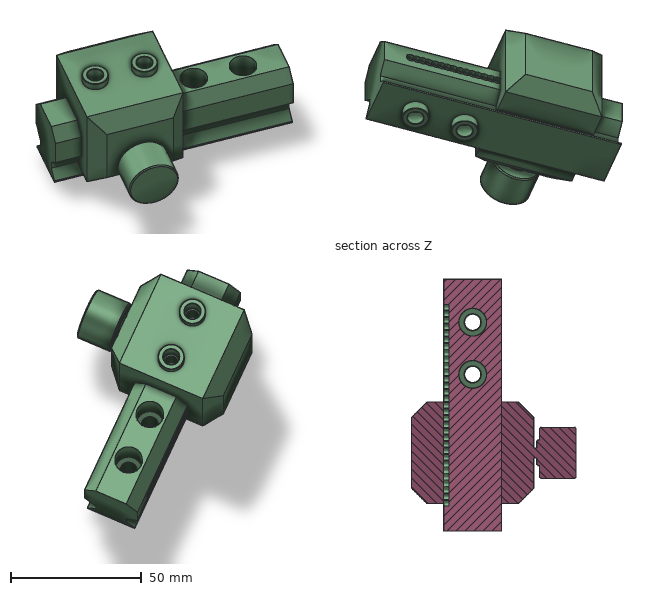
import cadquery as cq


rail_length = 96.5
rail_height = 27.1
rail_half_width = 11.1
neck_half_width = 6.4
foot_half_width = 9.9
foot_edge_height = 0.8
neck_bottom = foot_edge_height + foot_half_width - neck_half_width
neck_top = 7.5
side_bottom = 12.0
side_top = rail_height - (rail_half_width - neck_half_width)

detent_count = 31
detent_row_length = 75.0
detent_pitch = detent_row_length / (detent_count - 1)
detent_diameter = 3.6
detent_depth = 1.9
detent_height = 17.0

hole_spacing = 20.0
rail_hole_ys = [60.0, 60.0 + hole_spacing]
counterbore_diameter = 10.5
counterbore_depth = 13.5
clearance_diameter = 6.6
sleeve_diameter = 10.0
sleeve_bore = 6.2
sleeve_length = 6.8
sleeve_chamfer = 0.2
rail_sleeve_projection = 3.9
block_sleeve_projection = 3.0

block_width = 46.9
block_length = 39.0
block_height = 35.5
block_bottom = 4.1
block_top = block_bottom + block_height
block_front = 10.5
block_middle_y = block_front + block_length / 2
block_chamfer = 6.0
slot_mouth_chamfer = 1.35
tapped_diameter = 4.9
block_hole_ys = [block_middle_y - hole_spacing / 2, block_middle_y + hole_spacing / 2]

knob_end = 39.6
knob_start = 25.6
knob_diameter = 20.0
knob_chamfer = 0.5
hub_start = 24.5
hub_diameter = 10.5
hub_chamfer = 0.5
spindle_diameter = 5.0

rail_sleeve_base = -rail_sleeve_projection
block_sleeve_base = block_top + block_sleeve_projection - sleeve_length


def prism(right_side, start_y, length):
    """Extrude along +Y the outline whose +X half is given as (x, z) points, mirrored about X = 0."""
    left_side = [(-x, z) for x, z in reversed(right_side)]
    outline = cq.Workplane("XZ", origin=(0, start_y, 0)).polyline(right_side + left_side).close()
    return outline.extrude(-length)


def cylinders(diameter, base_z, height, ys):
    """Vertical cylinders on the middle plane, standing on base_z."""
    centers = [(0, y) for y in ys]
    return cq.Workplane("XY", origin=(0, 0, base_z)).pushPoints(centers).circle(diameter / 2).extrude(height)


def x_cylinder(diameter, start_x, end_x):
    """Cylinder along X on the knob axis."""
    plane = cq.Workplane("YZ", origin=(start_x, block_middle_y, detent_height))
    return plane.circle(diameter / 2).extrude(end_x - start_x)


head_outline = [
    (neck_half_width, neck_top),
    (rail_half_width, side_bottom),
    (rail_half_width, side_top),
    (neck_half_width, rail_height),
]


def make_detents():
    """Row of overlapping blind holes, centered along the rail."""
    first_y = (rail_length - detent_row_length) / 2
    row = cq.Workplane("YZ")
    for i in range(detent_count):
        detent = cq.Workplane("YZ", origin=(-rail_half_width, first_y + i * detent_pitch, detent_height))
        row = row.union(detent.circle(detent_diameter / 2).extrude(detent_depth))
    return row


def make_rail():
    foot_outline = [
        (foot_half_width, 0),
        (foot_half_width, foot_edge_height),
        (neck_half_width, neck_bottom),
    ]
    rail = prism(foot_outline + head_outline, 0, rail_length)
    rail = rail.cut(cylinders(clearance_diameter, 0, rail_height, rail_hole_ys))
    counterbore_floor = rail_height - counterbore_depth
    rail = rail.cut(cylinders(counterbore_diameter, counterbore_floor, counterbore_depth, rail_hole_ys))
    rail = rail.cut(cylinders(sleeve_diameter, 0, rail_sleeve_base + sleeve_length, rail_hole_ys))
    return rail.cut(make_detents())


def make_knob():
    """Spindle, hub and round head, starting at the +X face of the block."""
    spindle = x_cylinder(spindle_diameter, block_width / 2, hub_start)
    hub = x_cylinder(hub_diameter, hub_start, knob_start).faces("<X").chamfer(hub_chamfer)
    head = x_cylinder(knob_diameter, knob_start, knob_end).edges().chamfer(knob_chamfer)
    return spindle.union(hub).union(head)


def make_clamp():
    """Block that slides on the rail, in one piece with its knob."""
    block = cq.Workplane("XY", origin=(0, block_middle_y, block_bottom))
    block = block.box(block_width, block_length, block_height, centered=(True, True, False))
    block = block.faces("<X or >X").edges().chamfer(block_chamfer)

    slot_mouth = [
        (neck_half_width + slot_mouth_chamfer, block_bottom),
        (neck_half_width, block_bottom + slot_mouth_chamfer),
    ]
    block = block.cut(prism(slot_mouth + head_outline, block_front, block_length))

    block = block.cut(cylinders(tapped_diameter, rail_height, block_top - rail_height, block_hole_ys))
    block = block.cut(cylinders(sleeve_diameter, block_sleeve_base, sleeve_length, block_hole_ys))
    return block.union(make_knob())


def make_sleeve(y, base_z):
    """Centering sleeve with both ends chamfered inside and outside."""
    sleeve = cylinders(sleeve_diameter, base_z, sleeve_length, [y])
    sleeve = sleeve.cut(cylinders(sleeve_bore, base_z, sleeve_length, [y]))
    return sleeve.faces("<Z or >Z").edges().chamfer(sleeve_chamfer)


rail = make_rail()
clamp = make_clamp()
sleeves = [make_sleeve(y, rail_sleeve_base) for y in rail_hole_ys]
sleeves += [make_sleeve(y, block_sleeve_base) for y in block_hole_ys]

result = cq.Compound.makeCompound([rail.val(), clamp.val(), *[sleeve.val() for sleeve in sleeves]])